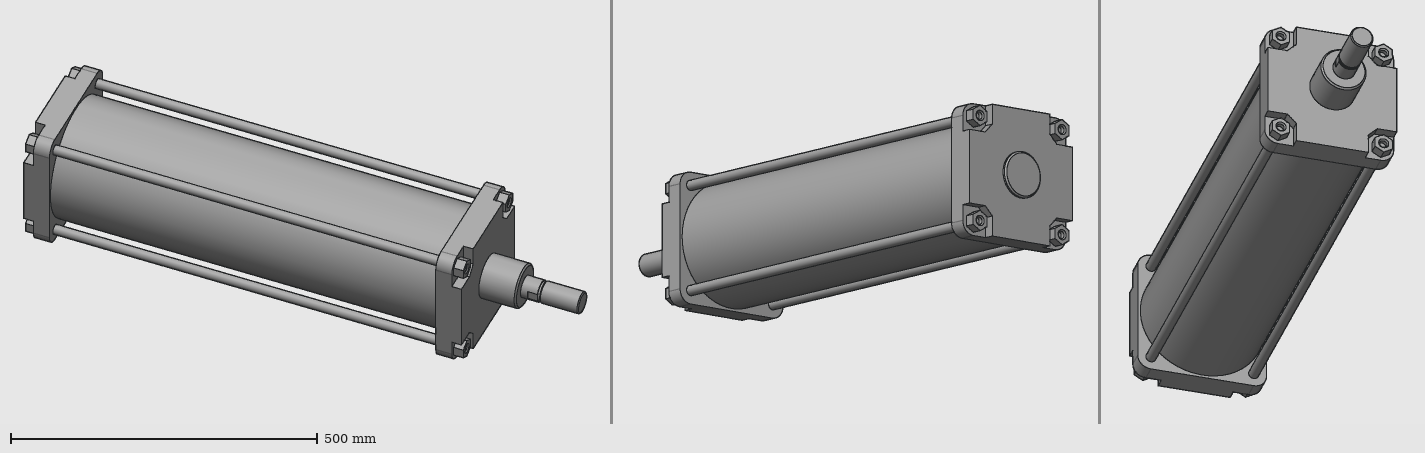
import cadquery as cq
import math

total_length = 953.0
rear_boss_length = 6.2
cap_thickness = 46.0
tube_length = 687.0
nose_length = 66.0

rear_cap_start = rear_boss_length - total_length / 2
tube_start = rear_cap_start + cap_thickness
front_cap_start = tube_start + tube_length
front_cap_end = front_cap_start + cap_thickness
nose_end = front_cap_end + nose_length
rod_end = total_length / 2

cap_width = 220.0
tube_diameter = 212.0
boss_diameter = 77.0
boss_chamfer = 3.0

tie_rod_offset = 88.0
tie_rod_diameter = 17.0
corner_radius = cap_width / 2 - tie_rod_offset
end_hole_diameter = 12.0
end_hole_depth = 10.0
end_hole_chamfer = 2.4
end_hole_chamfer_angle = 90

pocket_width = 49.0
pocket_bevel = 15.0
pocket_depth = 17.0
nut_across_flats = 30.0
nut_thickness = pocket_depth

rod_diameter = 38.0
collar_length = 30.0
flats_length = 17.0
flats_width = 35.0
neck_length = 4.0
neck_diameter = 34.0
thread_chamfer = 2.0

corner_signs = [(y_sign, z_sign) for y_sign in (-1, 1) for z_sign in (-1, 1)]


def disc(start, length, diameter):
    """Cylinder along +X from the given X position."""
    return cq.Workplane("YZ", origin=(start, 0, 0)).circle(diameter / 2).extrude(length)


def at_corner(shape, y_sign, z_sign):
    """Move a shape from the cylinder axis to one of the tie rod axes."""
    return shape.translate((0, y_sign * tie_rod_offset, z_sign * tie_rod_offset))


def corner_pocket(start, y_sign, z_sign):
    """Square corner cut with its inner corner bevelled."""
    outer = cap_width / 2
    inner = outer - pocket_width
    bevel_end = inner + pocket_bevel
    outline = [(outer, outer), (inner, outer), (inner, bevel_end), (bevel_end, inner), (outer, inner)]
    points = [(y_sign * y, z_sign * z) for y, z in outline]
    return cq.Workplane("YZ", origin=(start, 0, 0)).polyline(points).close().extrude(pocket_depth)


def make_cap(start, pocket_start):
    """Square end cap with rounded corners, four nut pockets and four tie rod holes."""
    cap = (
        cq.Workplane("YZ", origin=(start, 0, 0))
        .rect(cap_width, cap_width)
        .extrude(cap_thickness)
        .edges("|X")
        .fillet(corner_radius)
    )
    hole = disc(start, cap_thickness, tie_rod_diameter)
    for y_sign, z_sign in corner_signs:
        cap = cap.cut(corner_pocket(pocket_start, y_sign, z_sign))
        cap = cap.cut(at_corner(hole, y_sign, z_sign))
    return cap


def make_rear_cap():
    """End cap with a low chamfered boss on its outer face."""
    boss = disc(rear_cap_start - rear_boss_length, rear_boss_length, boss_diameter)
    boss = boss.faces("<X").chamfer(boss_chamfer)
    return make_cap(rear_cap_start, rear_cap_start).union(boss)


def make_front_cap():
    """End cap with a long chamfered nose on its outer face."""
    nose = disc(front_cap_end, nose_length, boss_diameter).faces(">X").chamfer(boss_chamfer)
    return make_cap(front_cap_start, front_cap_end - pocket_depth).union(nose)


def make_nut(start):
    """Hexagon with two flats facing +Y and -Y."""
    across_corners = nut_across_flats / math.cos(math.pi / 6)
    return (
        cq.Workplane("YZ", origin=(start, 0, 0))
        .transformed(rotate=(0, 0, 90))
        .polygon(6, across_corners)
        .extrude(nut_thickness)
    )


def make_tie_rod(y_sign, z_sign):
    """Tie rod through both caps, with a nut and a chamfered blind hole at each end."""
    length = front_cap_end - rear_cap_start
    rod = disc(rear_cap_start, length, tie_rod_diameter)
    rod = rod.union(make_nut(rear_cap_start))
    rod = rod.union(make_nut(front_cap_end - nut_thickness))
    mouth_diameter = end_hole_diameter + 2 * end_hole_chamfer
    for end_face in ("<X", ">X"):
        rod_end_face = rod.faces(end_face).workplane(centerOption="CenterOfMass")
        rod = rod_end_face.cskHole(end_hole_diameter, mouth_diameter, end_hole_chamfer_angle, end_hole_depth)
    return at_corner(rod, y_sign, z_sign)


def make_piston_rod():
    """Rod end: a collar with two wrench flats, a narrow neck and a length chamfered at both ends."""
    collar_end = nose_end + collar_length
    thread_start = collar_end + neck_length

    collar = disc(nose_end, collar_length, rod_diameter)
    blank = cq.Workplane().box(flats_length, rod_diameter, rod_diameter)
    between_flats = cq.Workplane().box(flats_length, flats_width, rod_diameter)
    flat_cuts = blank.cut(between_flats).translate((collar_end - flats_length / 2, 0, 0))

    neck = disc(collar_end, neck_length, neck_diameter)
    thread = disc(thread_start, rod_end - thread_start, rod_diameter)
    thread = thread.faces("<X or >X").chamfer(thread_chamfer)
    return collar.cut(flat_cuts).union(neck).union(thread)


rear_cap = make_rear_cap()
tube = disc(tube_start, tube_length, tube_diameter)
front_cap = make_front_cap()
piston_rod = make_piston_rod()
tie_rods = [make_tie_rod(y_sign, z_sign) for y_sign, z_sign in corner_signs]

result = cq.Compound.makeCompound(
    [rear_cap.val(), tube.val(), front_cap.val(), piston_rod.val(), *[rod.val() for rod in tie_rods]]
)